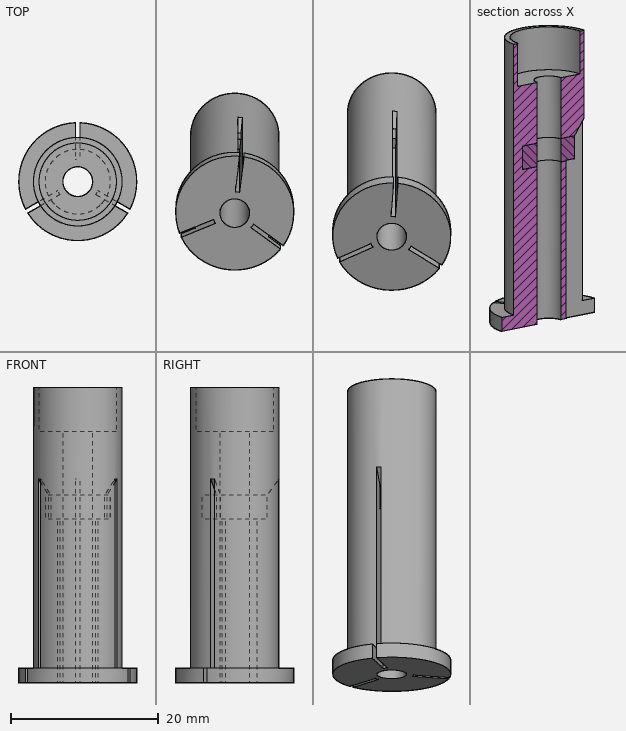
import cadquery as cq

total_height = 40.0
outer_radius = 6.0
flange_radius = 8.0
flange_height = 2.0
bore_radius = 2.0
cup_radius = 5.25
cup_floor_z = 34.0

nut_radius = 4.4
nut_bottom_z = 22.2
nut_top_z = 25.4

slot_width = 0.6
slot_top_z = 27.6
slot_inner_radius = 3.0
first_slot_angle = 90
slot_count = 3


def revolve_profile(points):
    """Revolve a closed (radius, height) outline about the Z axis."""
    return cq.Workplane("XZ").polyline(points).close().revolve(360, (0, 0, 0), (0, 1, 0))


def make_nut():
    """Plain round nut, bored through and standing on the floor of its chamber."""
    return revolve_profile([
        (bore_radius, nut_bottom_z),
        (nut_radius, nut_bottom_z),
        (nut_radius, nut_top_z),
        (bore_radius, nut_top_z),
    ])


def make_nut_chamber():
    """Space in the sleeve that the nut fills exactly."""
    height = nut_top_z - nut_bottom_z
    return cq.Workplane("XY").workplane(offset=nut_bottom_z).circle(nut_radius).extrude(height)


def make_slots():
    """Radial cutters with conical upper ends, stopping short of the bore."""
    envelope = revolve_profile([
        (slot_inner_radius, 0),
        (flange_radius, 0),
        (flange_radius, flange_height),
        (outer_radius, flange_height),
        (outer_radius, slot_top_z),
        (nut_radius, nut_top_z),
        (slot_inner_radius, nut_top_z),
    ])
    blade = cq.Workplane("XY").box(2 * flange_radius, slot_width, total_height, centered=(False, True, False))
    slots = []
    for index in range(slot_count):
        angle = first_slot_angle + index * 360 / slot_count
        slots.append(envelope.intersect(blade.rotate((0, 0, 0), (0, 0, 1), angle)))
    return slots


def make_sleeve():
    """Flanged tube with a cup at the top, a through bore, the nut chamber and the slots."""
    sleeve = revolve_profile([
        (bore_radius, 0),
        (flange_radius, 0),
        (flange_radius, flange_height),
        (outer_radius, flange_height),
        (outer_radius, total_height),
        (cup_radius, total_height),
        (cup_radius, cup_floor_z),
        (bore_radius, cup_floor_z),
    ])
    sleeve = sleeve.cut(make_nut_chamber())
    for slot in make_slots():
        sleeve = sleeve.cut(slot)
    return sleeve


sleeve = make_sleeve()
nut = make_nut()

result = cq.Compound.makeCompound([*sleeve.solids().vals(), nut.val()])